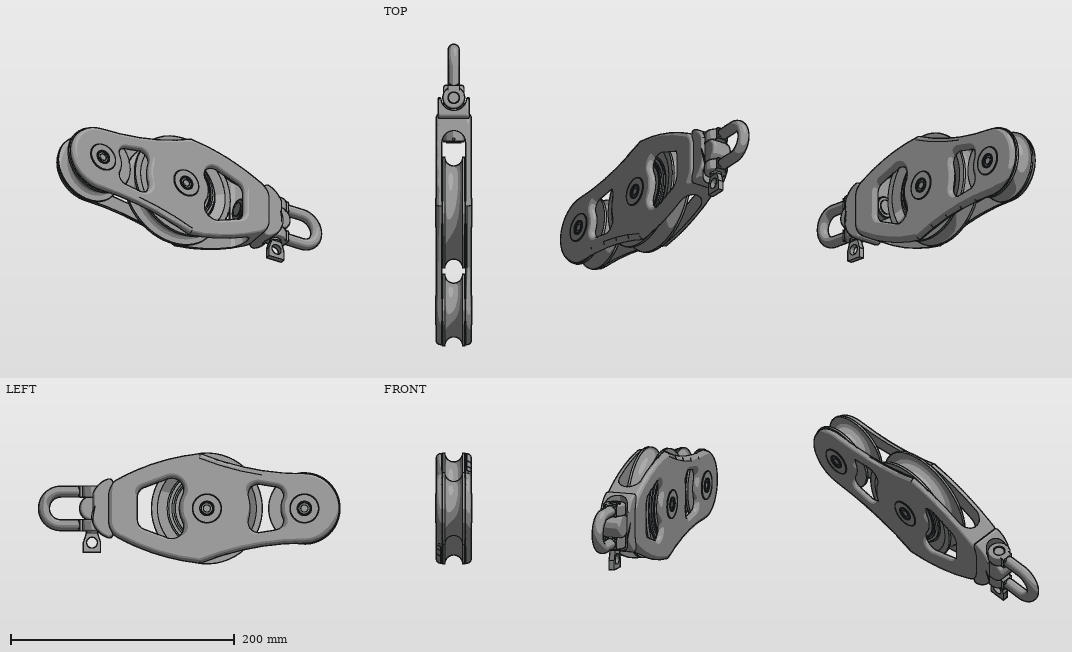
import cadquery as cq
import math

CAP_WIDTH = 33.0
FRAME_WIDTH = 31.5
FRAME_GAP = 21.0
FRAME_ROUND = 4.0
SHEAVE_WIDTH = 20.0
AXLE_SPACING = 87.0

FRAME_END_Y = 88.4
FRAME_END_HALF_HEIGHT = 13.0
SHOULDER_Y = 79.0
SHOULDER_Z = 26.4
CORNER_BULGE = 2.2
APEX_Y = 6.0
APEX_Z = 49.0
FLANK_BULGE = 3.8
NOSE_RADIUS = 31.0
SLOT_END_Y = 73.2

GROOVE_RADIUS = 7.9
LARGE_SHEAVE_RADIUS = 49.61
SMALL_SHEAVE_RADIUS = 32.0
RECESS_OUTER_RADIUS = 44.2
RECESS_FLOOR_RADIUS = 35.5
RECESS_DEPTH = 3.0
HUB_RADIUS = 34.1
HUB_STEP_RADIUS = 31.3
HUB_STEP_DEPTH = 1.5
SEAL_GROOVE_RADII = (29.6, 28.2)
SEAL_GROOVE_DEPTH = 1.0

AXLE_DIAMETER = 20.0
CAP_DIAMETER = 26.0
CAP_CHAMFER = 0.5
CAP_BORE_DIAMETER = 12.0
CAP_BORE_RIM = 0.5
CAP_BORE_DEPTH = 2.0
PIN_DIAMETER = 10.0
PIN_SOCKET_DIAMETERS = (6.5, 5.8)
PIN_SOCKET_STEP = 1.0

BIG_WINDOW_END_Y = 62.0
BIG_WINDOW_SIDE = (33.8, 26.8)
BIG_WINDOW_SLOPE = -0.372
BIG_WINDOW_CORNER = 9.0
BIG_WINDOW_LOBE = 10.6
BIG_WINDOW_RING = 24.8
SMALL_WINDOW_SIDE = (-45.9, 21.6)
SMALL_WINDOW_SLOPE = 0.16
SMALL_WINDOW_LOBES = (9.0, 7.8)
SMALL_WINDOW_RINGS = (38.5, 21.0)

BRACKET_WIDTH = 28.0
BRACKET_ROUND = 2.2
BRACKET_TIP_Y = 101.9
BRACKET_TIP_Z = 13.0
BRACKET_HORN_RADIUS = 3.5
BRACKET_HORN_Y = 87.3
BRACKET_TOP_Z = 26.5
HORN_END_ANGLE = math.radians(70)
PIVOT_Y = 102.6
EAR_CUT_RADIUS = 11.3
EYE_CLEARANCE_RADIUS = 11.4
BODY_DIAMETER = 22.4
BODY_WIDTH = 18.5
BODY_ROUND = 2.6
HEAD_DIAMETER = 19.8
HEAD_END_Y = 63.2
HEAD_CHAMFER = 0.8
HEAD_PAD_DIAMETER = 13.0
HEAD_PAD_HEIGHT = 1.0
HEAD_HOLE_DIAMETER = 2.0
HEAD_HOLE_Y = 65.5
STEM_DIAMETER = 12.0
ROD_DIAMETER = 10.0
BEND_RADIUS = 15.0
SHACKLE_END_Y = 150.48
EYE_DIAMETER = 19.8
EYE_THICKNESS = 10.4
EYE_ROUND = 1.4
SHANK_END_Y = 114.8
SHANK_CHAMFER = 1.5
PIN_HOLE_DIAMETER = 10.5
SHACKLE_PIN_DIAMETER = 9.5
PIN_HOLE_DEPTH = 3.0
SHACKLE_PIN_RECESS = 1.0
NECK_DIAMETER = 10.5
TAB_WIDTH = 15.6
TAB_TOP_WIDTH = 10.0
TAB_THICKNESS = 5.0
TAB_TOP_Z = -22.0
TAB_SIDE_Z = -30.5
TAB_BOTTOM_Z = -39.2
TAB_HOLE_DIAMETER = 9.5

AXLES_Y = (0.0, -AXLE_SPACING)
SIDES = (1, -1)


def mirrored(point):
    return (point[0], -point[1])


def bulged(start, end, bulge):
    """Middle point of an arc that stands outward (away from Z = 0) of its chord."""
    dy = end[0] - start[0]
    dz = end[1] - start[1]
    length = math.hypot(dy, dz)
    normal = (-dz / length, dy / length)
    if normal[1] < 0:
        normal = (-normal[0], -normal[1])
    middle_y = (start[0] + end[0]) / 2 + bulge * normal[0]
    middle_z = (start[1] + end[1]) / 2 + bulge * normal[1]
    return (middle_y, middle_z)


def cylinder_x(diameter, x_start, x_end, y):
    sketch = cq.Workplane("YZ", origin=(x_start, y, 0)).circle(diameter / 2)
    return sketch.extrude(x_end - x_start)


def cylinder_z(diameter, z_start, z_end, y):
    sketch = cq.Workplane("XY", origin=(0, y, z_start)).circle(diameter / 2)
    return sketch.extrude(z_end - z_start)


def cylinder_y(diameter, y_start, y_end):
    sketch = cq.Workplane("XZ", origin=(0, y_start, 0)).circle(diameter / 2)
    return sketch.extrude(y_start - y_end)


def lobe_arc(side, slope, ring_y, ring_radius, radius):
    """Arc of a lobe tangent to a slanted side and to a ring round an axle.

    Returns its point on the side, a point between and its point on the ring.
    """
    cosine = 1 / math.hypot(1, slope)
    along = (cosine, slope * cosine)
    inward = (slope * cosine, -cosine)
    start_y = side[0] + radius * inward[0] - ring_y
    start_z = side[1] + radius * inward[1]
    projection = start_y * along[0] + start_z * along[1]
    reach = ring_radius + radius
    root = math.sqrt(projection ** 2 - start_y ** 2 - start_z ** 2 + reach ** 2)
    away = 1 if side[0] > ring_y else -1
    travel = -projection + away * root
    centre_y = ring_y + start_y + travel * along[0]
    centre_z = start_z + travel * along[1]

    on_side = (centre_y - radius * inward[0], centre_z - radius * inward[1])
    blend = radius / reach
    on_ring = (centre_y + (ring_y - centre_y) * blend, centre_z * (1 - blend))
    between = (centre_y - away * radius, centre_z)
    return on_side, between, on_ring


def big_window_profile(plane):
    lobe_start, lobe_middle, lobe_end = lobe_arc(
        BIG_WINDOW_SIDE, BIG_WINDOW_SLOPE, 0, BIG_WINDOW_RING, BIG_WINDOW_LOBE
    )
    corner_z = BIG_WINDOW_SIDE[1] + BIG_WINDOW_SLOPE * (BIG_WINDOW_END_Y - BIG_WINDOW_SIDE[0])
    corner = (BIG_WINDOW_END_Y, corner_z)
    turn = math.pi / 2 - math.atan(-BIG_WINDOW_SLOPE)
    tangent = BIG_WINDOW_CORNER * math.tan(turn / 2)
    cosine = 1 / math.hypot(1, BIG_WINDOW_SLOPE)
    corner_low = (corner[0], corner_z - tangent)
    corner_high = (corner[0] - tangent * cosine, corner_z - tangent * cosine * BIG_WINDOW_SLOPE)
    return (
        plane.moveTo(*mirrored(corner_low))
        .lineTo(*corner_low)
        .radiusArc(corner_high, -BIG_WINDOW_CORNER)
        .lineTo(*lobe_start)
        .threePointArc(lobe_middle, lobe_end)
        .threePointArc((BIG_WINDOW_RING, 0), mirrored(lobe_end))
        .threePointArc(mirrored(lobe_middle), mirrored(lobe_start))
        .lineTo(*mirrored(corner_high))
        .radiusArc(mirrored(corner_low), -BIG_WINDOW_CORNER)
        .close()
    )


def small_window_profile(plane):
    near, far = [
        lobe_arc(SMALL_WINDOW_SIDE, SMALL_WINDOW_SLOPE, axle_y, ring, lobe)
        for axle_y, ring, lobe in zip(AXLES_Y, SMALL_WINDOW_RINGS, SMALL_WINDOW_LOBES)
    ]
    near_ring = (-SMALL_WINDOW_RINGS[0], 0)
    far_ring = (SMALL_WINDOW_RINGS[1] - AXLE_SPACING, 0)
    return (
        plane.moveTo(*near[2])
        .threePointArc(near[1], near[0])
        .lineTo(*far[0])
        .threePointArc(far[1], far[2])
        .threePointArc(far_ring, mirrored(far[2]))
        .threePointArc(mirrored(far[1]), mirrored(far[0]))
        .lineTo(*mirrored(near[0]))
        .threePointArc(mirrored(near[1]), mirrored(near[2]))
        .threePointArc(near_ring, near[2])
        .close()
    )


def frame_outline(plane):
    end = (FRAME_END_Y, FRAME_END_HALF_HEIGHT)
    shoulder = (SHOULDER_Y, SHOULDER_Z)
    apex = (APEX_Y, APEX_Z)
    nose = (-AXLE_SPACING, NOSE_RADIUS)
    nose_tip = (-AXLE_SPACING - NOSE_RADIUS, 0)
    waist_run = APEX_Y + AXLE_SPACING
    waist_rise = APEX_Z - NOSE_RADIUS
    waist_radius = (waist_run ** 2 + waist_rise ** 2) / (2 * waist_rise)
    corner_middle = bulged(end, shoulder, CORNER_BULGE)
    flank_middle = bulged(shoulder, apex, FLANK_BULGE)
    return (
        plane.moveTo(*mirrored(end))
        .lineTo(*end)
        .threePointArc(corner_middle, shoulder)
        .threePointArc(flank_middle, apex)
        .radiusArc(nose, waist_radius)
        .threePointArc(nose_tip, mirrored(nose))
        .radiusArc(mirrored(apex), waist_radius)
        .threePointArc(mirrored(flank_middle), mirrored(shoulder))
        .threePointArc(mirrored(corner_middle), mirrored(end))
        .close()
    )


def make_frame():
    plane = cq.Workplane("YZ", origin=(-FRAME_WIDTH / 2, 0, 0))
    frame = frame_outline(plane).extrude(FRAME_WIDTH)
    frame = frame.cut(big_window_profile(plane).extrude(FRAME_WIDTH))
    frame = frame.cut(small_window_profile(plane).extrude(FRAME_WIDTH))
    frame = frame.faces("<X or >X").edges().fillet(FRAME_ROUND)

    slot_centre_y = SLOT_END_Y - FRAME_GAP / 2
    slot_length = slot_centre_y + AXLE_SPACING + 2 * NOSE_RADIUS
    slot_height = 4 * APEX_Z
    slot = cq.Workplane("XY").box(FRAME_GAP, slot_length, slot_height)
    slot = slot.translate((0, slot_centre_y - slot_length / 2, 0))
    slot_end = cylinder_z(FRAME_GAP, -slot_height / 2, slot_height / 2, slot_centre_y)
    return frame.cut(slot).cut(slot_end)


def make_sheave(radius, y):
    half = SHEAVE_WIDTH / 2
    profile = (
        cq.Workplane("XY")
        .moveTo(-half, 0)
        .lineTo(-half, radius)
        .lineTo(-GROOVE_RADIUS, radius)
        .threePointArc((0, radius - GROOVE_RADIUS), (GROOVE_RADIUS, radius))
        .lineTo(half, radius)
        .lineTo(half, 0)
        .close()
    )
    return profile.revolve(360, (0, 0), (1, 0)).translate((0, y, 0))


def make_web_recess(side):
    """Annular recess in one face of the large sheave, with a stepped, grooved hub."""
    face = SHEAVE_WIDTH / 2
    floor = face - RECESS_DEPTH
    step = face - HUB_STEP_DEPTH
    profile = (
        cq.Workplane("XY")
        .moveTo(side * face, RECESS_OUTER_RADIUS)
        .lineTo(side * floor, RECESS_FLOOR_RADIUS)
        .lineTo(side * floor, HUB_RADIUS)
        .lineTo(side * step, HUB_RADIUS)
        .lineTo(side * step, HUB_STEP_RADIUS)
        .lineTo(side * face, HUB_STEP_RADIUS)
        .close()
    )
    recess = profile.revolve(360, (0, 0), (1, 0))
    outer, inner = [
        cylinder_x(2 * radius, side * (face - SEAL_GROOVE_DEPTH), side * face, 0)
        for radius in SEAL_GROOVE_RADII
    ]
    return recess.union(outer.cut(inner))


def make_axle(y):
    """Capped axle with a stepped socket in each end."""
    half = CAP_WIDTH / 2
    axle = cylinder_x(CAP_DIAMETER, -half, half, y).faces("<X or >X").chamfer(CAP_CHAMFER)
    gap = cylinder_x(CAP_DIAMETER, -FRAME_GAP / 2, FRAME_GAP / 2, y)
    core = cylinder_x(AXLE_DIAMETER, -FRAME_GAP / 2, FRAME_GAP / 2, y)
    axle = axle.cut(gap).union(core)
    bore_floor = half - CAP_BORE_DEPTH
    pin_top = half - CAP_CHAMFER
    for side in SIDES:
        bore = cylinder_x(CAP_BORE_DIAMETER, side * bore_floor, side * half, y)
        rim = cylinder_x(CAP_BORE_DIAMETER + 2 * CAP_BORE_RIM, side * pin_top, side * half, y)
        pin = cylinder_x(PIN_DIAMETER, side * bore_floor, side * pin_top, y)
        axle = axle.cut(bore).cut(rim).union(pin)
        for step, diameter in enumerate(PIN_SOCKET_DIAMETERS, start=1):
            floor = pin_top - step * PIN_SOCKET_STEP
            axle = axle.cut(cylinder_x(diameter, side * floor, side * half, y))
    return axle


def make_bracket():
    """Fork-shaped bracket on the frame end, hollowed round the swivel body."""
    horn_z = BRACKET_TOP_Z - BRACKET_HORN_RADIUS
    tip = (BRACKET_TIP_Y, BRACKET_TIP_Z)
    horn_front = (
        BRACKET_HORN_Y + BRACKET_HORN_RADIUS * math.cos(HORN_END_ANGLE),
        horn_z + BRACKET_HORN_RADIUS * math.sin(HORN_END_ANGLE),
    )
    horn_back = (BRACKET_HORN_Y - BRACKET_HORN_RADIUS, horn_z)
    horn_top = (BRACKET_HORN_Y, BRACKET_TOP_Z)
    ear_run = tip[0] - horn_front[0]
    ear_drop = horn_front[1] - tip[1]
    ear_turn = math.atan2(ear_drop, ear_run) - (math.pi / 2 - HORN_END_ANGLE)
    ear_bulge = math.hypot(ear_run, ear_drop) / 2 * math.tan(ear_turn / 2)
    ear_middle = bulged(tip, horn_front, ear_bulge)
    bracket = (
        cq.Workplane("YZ", origin=(-BRACKET_WIDTH / 2, 0, 0))
        .moveTo(*mirrored(tip))
        .lineTo(*tip)
        .threePointArc(ear_middle, horn_front)
        .threePointArc(horn_top, horn_back)
        .lineTo(*mirrored(horn_back))
        .threePointArc(mirrored(horn_top), mirrored(horn_front))
        .threePointArc(mirrored(ear_middle), mirrored(tip))
        .close()
        .extrude(BRACKET_WIDTH)
    )
    bracket = bracket.faces("<X or >X").edges().fillet(BRACKET_ROUND)
    bracket = bracket.cut(
        cylinder_x(2 * EAR_CUT_RADIUS, -BRACKET_WIDTH / 2, BRACKET_WIDTH / 2, PIVOT_Y)
    )
    return bracket.cut(
        cylinder_z(2 * EYE_CLEARANCE_RADIUS, -BRACKET_TOP_Z, BRACKET_TOP_Z, PIVOT_Y)
    )


def make_swivel():
    """Round swivel body, its stem and the stem head inside the frame."""
    body = cylinder_x(BODY_DIAMETER, -BODY_WIDTH / 2, BODY_WIDTH / 2, PIVOT_Y)
    body = body.faces("<X or >X").edges().fillet(BODY_ROUND)
    stem = cylinder_y(STEM_DIAMETER, SLOT_END_Y, PIVOT_Y)
    head = cylinder_y(HEAD_DIAMETER, HEAD_END_Y, SLOT_END_Y + 1).faces("<Y").chamfer(HEAD_CHAMFER)
    hole = cylinder_z(HEAD_HOLE_DIAMETER, 0, HEAD_DIAMETER, HEAD_HOLE_Y)
    pad = cylinder_y(HEAD_PAD_DIAMETER, HEAD_END_Y - HEAD_PAD_HEIGHT, SLOT_END_Y)
    return body.union(stem).union(head.union(pad).cut(hole))


def make_shackle_end(side):
    """Eye with a square shank that receives one end of the bent rod."""
    centre_z = side * BEND_RADIUS
    bottom = centre_z - EYE_THICKNESS / 2
    top = centre_z + EYE_THICKNESS / 2
    eye = cylinder_z(EYE_DIAMETER, bottom, top, PIVOT_Y).edges().fillet(EYE_ROUND)
    length = SHANK_END_Y - PIVOT_Y
    shank = cq.Workplane("XY").box(EYE_THICKNESS, length, EYE_THICKNESS)
    shank = shank.faces(">Y").edges().chamfer(SHANK_CHAMFER)
    return eye.union(shank.translate((0, PIVOT_Y + length / 2, centre_z)))


def make_shackle():
    """U-shaped rod with an eye at each end and the pin between the eyes."""
    bend_y = SHACKLE_END_Y - BEND_RADIUS - ROD_DIAMETER / 2
    rod_start_y = (PIVOT_Y + SHANK_END_Y) / 2
    path = (
        cq.Workplane("YZ")
        .moveTo(rod_start_y, BEND_RADIUS)
        .lineTo(bend_y, BEND_RADIUS)
        .threePointArc((bend_y + BEND_RADIUS, 0), (bend_y, -BEND_RADIUS))
        .lineTo(rod_start_y, -BEND_RADIUS)
    )
    section = cq.Workplane("XZ", origin=(0, rod_start_y, BEND_RADIUS)).circle(ROD_DIAMETER / 2)
    shackle = section.sweep(path)
    for side in SIDES:
        shackle = shackle.union(make_shackle_end(side))
    outer = BEND_RADIUS + EYE_THICKNESS / 2
    hole_floor = outer - PIN_HOLE_DEPTH
    shackle = shackle.cut(cylinder_z(PIN_HOLE_DIAMETER, hole_floor, outer, PIVOT_Y))
    pin_top = outer - SHACKLE_PIN_RECESS
    return shackle.union(cylinder_z(SHACKLE_PIN_DIAMETER, -BEND_RADIUS, pin_top, PIVOT_Y))


def make_pin_tab():
    """Flat grip tab with a hole on the lower end of the shackle pin."""
    neck = cylinder_z(NECK_DIAMETER, TAB_TOP_Z, -BEND_RADIUS, PIVOT_Y)
    tab = (
        cq.Workplane("YZ", origin=(-TAB_THICKNESS / 2, PIVOT_Y, 0))
        .moveTo(-TAB_WIDTH / 2, TAB_BOTTOM_Z)
        .lineTo(TAB_WIDTH / 2, TAB_BOTTOM_Z)
        .lineTo(TAB_WIDTH / 2, TAB_SIDE_Z)
        .lineTo(TAB_TOP_WIDTH / 2, TAB_TOP_Z)
        .lineTo(-TAB_TOP_WIDTH / 2, TAB_TOP_Z)
        .lineTo(-TAB_WIDTH / 2, TAB_SIDE_Z)
        .close()
        .extrude(TAB_THICKNESS)
    )
    hole = cylinder_x(TAB_HOLE_DIAMETER, -TAB_THICKNESS, TAB_THICKNESS, PIVOT_Y)
    return neck.union(tab.cut(hole.translate((0, 0, TAB_SIDE_Z))))


large_sheave = make_sheave(LARGE_SHEAVE_RADIUS, 0)
for side in SIDES:
    large_sheave = large_sheave.cut(make_web_recess(side))

result = make_frame().union(large_sheave)
result = result.union(make_sheave(SMALL_SHEAVE_RADIUS, -AXLE_SPACING))
for axle_y in AXLES_Y:
    result = result.union(make_axle(axle_y))
result = result.union(make_bracket())
result = result.union(make_swivel())
result = result.union(make_shackle())
result = result.union(make_pin_tab())